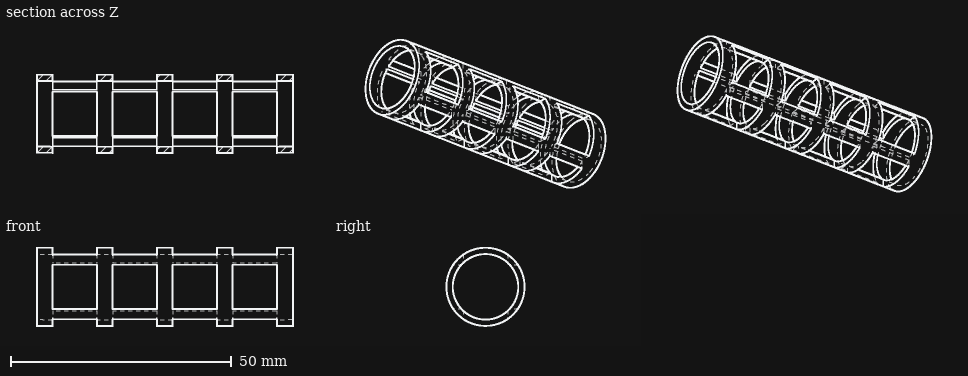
import cadquery as cq

length = 58.0
outer_diameter = 17.75
inner_diameter = 14.8
window_size = 10.0
window_pitch = 13.6
window_count = 4

ring_width = window_pitch - window_size
tube_start = -length / 2
first_window_center = tube_start + ring_width + window_size / 2
window_row_center = first_window_center + (window_count - 1) * window_pitch / 2


def make_tube():
    """Plain tube along X, centred on the origin."""
    return (
        cq.Workplane("YZ", origin=(tube_start, 0, 0))
        .circle(outer_diameter / 2)
        .circle(inner_diameter / 2)
        .extrude(length)
    )


def make_window_cutters(plane):
    """Row of square bars passing right through the tube, normal to the plane."""
    return (
        cq.Workplane(plane, origin=(window_row_center, 0, 0))
        .rarray(window_pitch, 0.6, window_count, 1)
        .rect(window_size, window_size)
        .extrude(outer_diameter, both=True)
    )


result = make_tube()
for plane in ("XY", "XZ"):
    result = result.cut(make_window_cutters(plane))